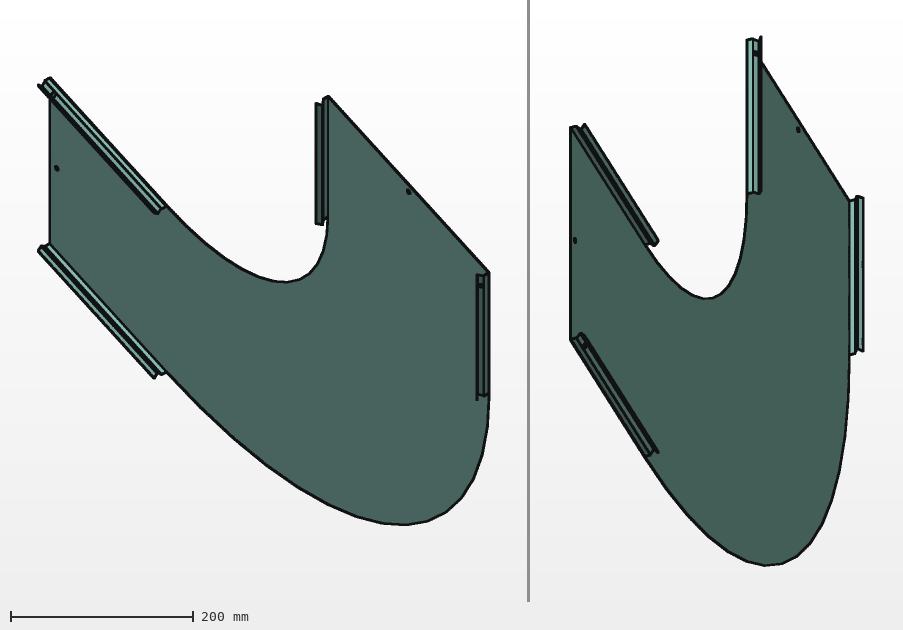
import cadquery as cq
import math

overall = 818.0
plate_width = 300.0
inner_radius = 300.0
sheet = 1.0

depth = 17.0
groove_start = 7.0
groove_middle = 12.0
groove_floor = 1.0
groove_inset = 6.5
lip_setback = 1.0

plate_hole_diameter = 5.0
plate_hole_setback = 13.0
lip_hole_diameter = 5.0
lip_hole_setback = 20.0

leg_length = overall - inner_radius - plate_width
outer_radius = inner_radius + plate_width
half = overall / 2
inner_edge = half - plate_width
leg_middle = half - plate_width / 2
arc_start = leg_length - half


def point_on_bend(radius):
    """Middle of a bend arc; both arcs share one centre."""
    reach = radius * math.sqrt(0.5)
    return arc_start + reach, -arc_start - reach


def make_plate():
    """Flat curved plate with its back face on Y = 0."""
    return (
        cq.Workplane("XZ")
        .moveTo(-half, -half)
        .lineTo(arc_start, -half)
        .threePointArc(point_on_bend(outer_radius), (half, -arc_start))
        .lineTo(half, half)
        .lineTo(inner_edge, half)
        .lineTo(inner_edge, -arc_start)
        .threePointArc(point_on_bend(inner_radius), (arc_start, -inner_edge))
        .lineTo(-half, -inner_edge)
        .close()
        .extrude(sheet)
    )


def make_wall():
    """Straight wall folded down from the inner edge of the upright leg."""
    wall = cq.Workplane("XY").box(sheet, groove_start, leg_length, centered=False)
    return wall.translate((inner_edge, -groove_start, half - leg_length))


def make_lip():
    """Grooved strip that continues the wall down to the rail bottom."""
    floor_top = -groove_middle + groove_floor / 2
    floor_bottom = -groove_middle - groove_floor / 2
    tip = inner_edge + groove_inset
    outline = [
        (inner_edge, -groove_start + sheet),
        (inner_edge, -groove_start),
        (tip - sheet, floor_top),
        (tip - sheet, floor_bottom),
        (inner_edge, -depth + sheet),
        (inner_edge, -depth),
        (inner_edge + sheet, -depth),
        (tip, floor_bottom),
        (tip, floor_top),
        (inner_edge + sheet, -groove_start),
        (inner_edge + sheet, -groove_start + sheet),
    ]
    lip_length = leg_length - 2 * lip_setback
    lip = cq.Workplane("XY").polyline(outline).close().extrude(lip_length)
    return lip.translate((0, 0, half - lip_setback - lip_length))


def make_lip_hole():
    """Cross hole through the upper slope of the groove."""
    slope_middle = -(groove_start + groove_middle) / 2
    return (
        cq.Workplane("YZ", origin=(inner_edge, 0, 0))
        .center(slope_middle, half - lip_hole_setback)
        .circle(lip_hole_diameter / 2)
        .extrude(groove_inset)
    )


def swap_legs(shape):
    """Mirror about the diagonal of the bend, so one leg lands on the other."""
    return shape.rotate((0, 0, 0), (0, 1, 0), 90).mirror("YZ")


inner_rail = make_wall().union(make_lip()).cut(make_lip_hole())
outer_rail = inner_rail.mirror("YZ", (leg_middle, 0, 0))
plate_hole = (
    cq.Workplane("XZ")
    .center(leg_middle, half - plate_hole_setback)
    .circle(plate_hole_diameter / 2)
    .extrude(sheet)
)

result = make_plate()
for rail in (inner_rail, outer_rail):
    result = result.union(rail).union(swap_legs(rail))
result = result.cut(plate_hole).cut(swap_legs(plate_hole))